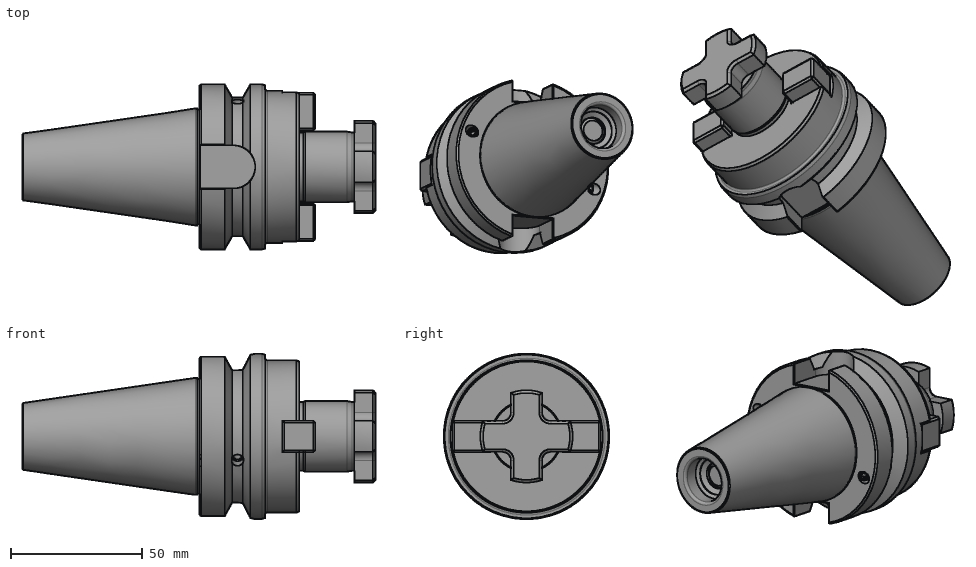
import cadquery as cq
import math


TOTAL_LENGTH = 134.4

TAPER_LENGTH = 65.7
TAPER_RATE = 7 / 24
TAPER_LARGE_RADIUS = 22.3
TAPER_SMALL_RADIUS = TAPER_LARGE_RADIUS - TAPER_LENGTH * TAPER_RATE / 2
TAPER_TIP_CHAMFER = 0.4
NECK_START_X = 66.5
NECK_RADIUS = 21.9

FLANGE_START_X = 67.3
FLANGE_END_X = 92.3
FLANGE_DIAMETER = 63.0
FLANGE_RADIUS = FLANGE_DIAMETER / 2
FLANGE_CHAMFER = 0.7
FLANGE_END_CHAMFER_LENGTH = 1.3
FLANGE_END_CHAMFER_DEPTH = 0.4
GROOVE_CENTER_X = 81.8
GROOVE_FLOOR_WIDTH = 4.0
GROOVE_FLOOR_RADIUS = 26.5
GROOVE_WALL_ANGLE = 30.0
GROOVE_WALL_WIDTH = (FLANGE_RADIUS - GROOVE_FLOOR_RADIUS) * math.tan(math.radians(GROOVE_WALL_ANGLE))
GROOVE_FLOOR_START_X = GROOVE_CENTER_X - GROOVE_FLOOR_WIDTH / 2
GROOVE_FLOOR_END_X = GROOVE_CENTER_X + GROOVE_FLOOR_WIDTH / 2

SLOT_WIDTH = 16.4
SLOT_END_X = 88.6
SLOT_FLOOR_Z = 22.3
SLOT_EDGE_CHAMFER = 0.4

SHOULDER_END_X = 105.4
SHOULDER_RADIUS = 29.0
SHOULDER_CHAMFER = 1.2
SHOULDER_CHAMFER_DEPTH = 0.5
SHOULDER_ROOT_FILLET = 0.8

MANDREL_DIAMETER = 27.0
MANDREL_RADIUS = MANDREL_DIAMETER / 2
MANDREL_RELIEF_RADIUS = 13.2
MANDREL_RELIEF_END_X = 106.8
MANDREL_START_X = 107.7
MANDREL_LEAD_START_X = 123.4
MANDREL_LEAD_END_X = 125.3

MOUTH_FILLET = 1.1
PILOT_RADIUS = 8.5
PILOT_END_X = 6.5
SEAT_RADIUS = 7.1
SEAT_START_X = 7.4
SEAT_END_X = 7.7
BORE_TIP_X = 9.0

SCREW_RADIUS = 5.1
SCREW_TIP_CHAMFER = 1.2
SCREW_HEAD_RADIUS = 17.6
SCREW_HEAD_THICKNESS = 8.0
SCREW_HEAD_START_X = TOTAL_LENGTH - SCREW_HEAD_THICKNESS
SCREW_ARM_WIDTH = 11.8
SCREW_ARM_FILLET = 3.2
SCREW_HEAD_CHAMFER = 1.1
MANDREL_END_X = SCREW_HEAD_START_X

KEY_WIDTH = 12.0
KEY_START_X = 98.9
KEY_END_X = 111.4
KEY_INNER_Y = 13.8
KEY_OUTER_Y = 28.2
KEY_CHAMFER = 0.8

COOLANT_ANGLE = 20.0
RADIAL_HOLE_RADIUS = 2.3
RADIAL_HOLE_FLOOR_RADIUS = 21.2
RADIAL_DRILL_RADIUS = 1.6
RADIAL_DRILL_END_RADIUS = 10.8
PLUG_RADIUS = 2.2
PLUG_TILT = 35.0
PLUG_DISTANCE = 26.9
PLUG_RECESS = PLUG_RADIUS * math.tan(math.radians(PLUG_TILT))
PLUG_LENGTH = 4.0
PLUG_CHAMFER = 0.4
SOCKET_ACROSS_FLATS = 2.2
SOCKET_DEPTH = 1.6
SIDE_ANGLES = (0, 180)
SELECTION_MARGIN = 0.1


def cylinder(radius, start, direction, length):
    """Solid cylinder that grows from a start point along a direction."""
    return cq.Workplane(cq.Solid.makeCylinder(radius, length, cq.Vector(*start), cq.Vector(*direction)))


def turn(body, angle):
    """Body turned about X."""
    return body.rotate((0, 0, 0), (1, 0, 0), angle)


def holder_blank():
    """Turned outside of the holder."""
    blank = (
        cq.Workplane("XZ")
        .moveTo(0, 0)
        .lineTo(0, TAPER_SMALL_RADIUS - TAPER_TIP_CHAMFER)
        .lineTo(TAPER_TIP_CHAMFER, TAPER_SMALL_RADIUS + TAPER_TIP_CHAMFER * TAPER_RATE / 2)
        .lineTo(TAPER_LENGTH, TAPER_LARGE_RADIUS)
        .lineTo(NECK_START_X, TAPER_LARGE_RADIUS)
        .lineTo(NECK_START_X, NECK_RADIUS)
        .lineTo(FLANGE_START_X, NECK_RADIUS)
        .lineTo(FLANGE_START_X, FLANGE_RADIUS - FLANGE_CHAMFER)
        .lineTo(FLANGE_START_X + FLANGE_CHAMFER, FLANGE_RADIUS)
        .lineTo(GROOVE_FLOOR_START_X - GROOVE_WALL_WIDTH, FLANGE_RADIUS)
        .lineTo(GROOVE_FLOOR_START_X, GROOVE_FLOOR_RADIUS)
        .lineTo(GROOVE_FLOOR_END_X, GROOVE_FLOOR_RADIUS)
        .lineTo(GROOVE_FLOOR_END_X + GROOVE_WALL_WIDTH, FLANGE_RADIUS)
        .lineTo(FLANGE_END_X - FLANGE_END_CHAMFER_LENGTH, FLANGE_RADIUS)
        .lineTo(FLANGE_END_X, FLANGE_RADIUS - FLANGE_END_CHAMFER_DEPTH)
        .lineTo(FLANGE_END_X, SHOULDER_RADIUS + SHOULDER_ROOT_FILLET)
        .radiusArc((FLANGE_END_X + SHOULDER_ROOT_FILLET, SHOULDER_RADIUS), -SHOULDER_ROOT_FILLET)
        .lineTo(SHOULDER_END_X - SHOULDER_CHAMFER, SHOULDER_RADIUS)
        .lineTo(SHOULDER_END_X, SHOULDER_RADIUS - SHOULDER_CHAMFER_DEPTH)
        .lineTo(SHOULDER_END_X, MANDREL_RELIEF_RADIUS)
        .lineTo(MANDREL_RELIEF_END_X, MANDREL_RELIEF_RADIUS)
        .lineTo(MANDREL_START_X, MANDREL_RADIUS)
        .lineTo(MANDREL_LEAD_START_X, MANDREL_RADIUS)
        .lineTo(MANDREL_LEAD_END_X, MANDREL_RELIEF_RADIUS)
        .lineTo(MANDREL_END_X, MANDREL_RELIEF_RADIUS)
        .lineTo(MANDREL_END_X, 0)
        .close()
    )
    return blank.revolve(360, (0, 0, 0), (1, 0, 0))


def holder_bore():
    """Stepped bore along the axis, down to the diameter of the clamping screw."""
    bore = (
        cq.Workplane("XZ")
        .moveTo(0, 0)
        .lineTo(0, PILOT_RADIUS + MOUTH_FILLET)
        .radiusArc((MOUTH_FILLET, PILOT_RADIUS), -MOUTH_FILLET)
        .lineTo(PILOT_END_X, PILOT_RADIUS)
        .lineTo(SEAT_START_X, SEAT_RADIUS)
        .lineTo(SEAT_END_X, SEAT_RADIUS)
        .lineTo(BORE_TIP_X, SCREW_RADIUS)
        .lineTo(MANDREL_END_X, SCREW_RADIUS)
        .lineTo(MANDREL_END_X, 0)
        .close()
    )
    return bore.revolve(360, (0, 0, 0), (1, 0, 0))


def driving_slot():
    """Round-ended slot in the top of the flange, open towards the taper."""
    height = FLANGE_RADIUS - SLOT_FLOOR_Z
    round_center_x = SLOT_END_X - SLOT_WIDTH / 2
    straight = cq.Workplane("XY").box(
        round_center_x - NECK_START_X, SLOT_WIDTH, height, centered=(False, True, False)
    ).translate((NECK_START_X, 0, SLOT_FLOOR_Z))
    round_end = cylinder(SLOT_WIDTH / 2, (round_center_x, 0, SLOT_FLOOR_Z), (0, 0, 1), height)
    return straight.union(round_end)


def slot_mouth_chamfer():
    """Wedge that bevels the edges of the slot in the flange face."""
    floor_z = SLOT_FLOOR_Z - SLOT_EDGE_CHAMFER
    height = 2 * (FLANGE_RADIUS - floor_z)
    return (
        cq.Workplane("YZ", origin=(FLANGE_START_X, 0, floor_z + height / 2))
        .rect(SLOT_WIDTH + 2 * SLOT_EDGE_CHAMFER, height)
        .extrude(SLOT_EDGE_CHAMFER, taper=45)
    )


def slot_rims():
    """Selector for the straight outer edges of both slots on the front part of the flange."""
    half_width = SLOT_WIDTH / 2 + SELECTION_MARGIN
    rim_z = math.sqrt(FLANGE_RADIUS ** 2 - (SLOT_WIDTH / 2) ** 2)
    top, bottom = [
        cq.selectors.BoxSelector(
            (FLANGE_START_X, -half_width, z - SELECTION_MARGIN),
            (GROOVE_FLOOR_START_X, half_width, z + SELECTION_MARGIN),
        )
        for z in (rim_z, -rim_z)
    ]
    return top + bottom


def key_block(outer_y):
    """Block on the +Y side with the width and length of a drive key."""
    return cq.Workplane("XY").box(
        KEY_END_X - KEY_START_X, outer_y - KEY_INNER_Y, KEY_WIDTH, centered=(False, False, True)
    ).translate((KEY_START_X, KEY_INNER_Y, 0))


def radial_coolant_hole():
    """Stepped hole from the floor of the V groove towards the axis, on the +Y side."""
    wide = cylinder(
        RADIAL_HOLE_RADIUS,
        (GROOVE_CENTER_X, RADIAL_HOLE_FLOOR_RADIUS, 0),
        (0, 1, 0),
        FLANGE_RADIUS - RADIAL_HOLE_FLOOR_RADIUS,
    )
    narrow = cylinder(
        RADIAL_DRILL_RADIUS,
        (GROOVE_CENTER_X, RADIAL_DRILL_END_RADIUS, 0),
        (0, 1, 0),
        RADIAL_HOLE_FLOOR_RADIUS - RADIAL_DRILL_END_RADIUS,
    )
    return wide.union(narrow)


def tilt_to_plug_axis(body):
    """Body built along +X from the origin, moved onto the plug axis at the flange face."""
    tilted = body.rotate((0, 0, 0), (0, 0, 1), -PLUG_TILT)
    return tilted.translate((FLANGE_START_X, PLUG_DISTANCE, 0))


def plug_hole():
    """Hole in the flange face that holds a plug, on the +Y side."""
    overrun = PLUG_RADIUS
    length = overrun + PLUG_RECESS + PLUG_LENGTH
    return tilt_to_plug_axis(cylinder(PLUG_RADIUS, (-overrun, 0, 0), (1, 0, 0), length))


def make_plug():
    """Set screw with a hexagon socket, on the +Y side."""
    socket_diameter = SOCKET_ACROSS_FLATS / math.cos(math.radians(30))
    plug = (
        cq.Workplane("YZ")
        .circle(PLUG_RADIUS)
        .extrude(PLUG_LENGTH)
        .faces("<X").chamfer(PLUG_CHAMFER)
    )
    socket = cq.Workplane("YZ").polygon(6, socket_diameter).extrude(SOCKET_DEPTH)
    return tilt_to_plug_axis(plug.cut(socket).translate((PLUG_RECESS, 0, 0)))


def make_holder():
    """Holder with its bore, slots, key seats and coolant holes."""
    holder = holder_blank().cut(holder_bore())
    for side in SIDE_ANGLES:
        holder = holder.cut(turn(driving_slot(), side))
    holder = holder.edges("|X").edges(slot_rims()).chamfer(SLOT_EDGE_CHAMFER)
    for side in SIDE_ANGLES:
        holder = holder.cut(turn(slot_mouth_chamfer(), side))
        holder = holder.cut(turn(key_block(SHOULDER_RADIUS), side))
        holder = holder.cut(turn(radial_coolant_hole(), side + COOLANT_ANGLE))
        holder = holder.cut(turn(plug_hole(), side + COOLANT_ANGLE))
    return holder


def make_key():
    """Drive key on the +Y side, chamfered around its outer and inner faces and its front end."""
    return key_block(KEY_OUTER_Y).faces(">X or >Y or <Y").chamfer(KEY_CHAMFER)


def make_clamping_screw():
    """Screw with a cross-shaped head and a plain shank that reaches into the bore."""
    head_disc = cq.Workplane("YZ").circle(SCREW_HEAD_RADIUS).extrude(SCREW_HEAD_THICKNESS)
    arm_length = 2 * SCREW_HEAD_RADIUS
    cross = (
        cq.Workplane("YZ")
        .rect(arm_length, SCREW_ARM_WIDTH).extrude(SCREW_HEAD_THICKNESS)
        .union(cq.Workplane("YZ").rect(SCREW_ARM_WIDTH, arm_length).extrude(SCREW_HEAD_THICKNESS))
    )
    corner = SCREW_ARM_WIDTH / 2 + SELECTION_MARGIN
    corner_box = cq.selectors.BoxSelector((0, -corner, -corner), (SCREW_HEAD_THICKNESS, corner, corner))
    cross = cross.edges("|X").edges(corner_box).fillet(SCREW_ARM_FILLET)
    head = cross.intersect(head_disc).faces(">X").chamfer(SCREW_HEAD_CHAMFER)
    head = head.translate((SCREW_HEAD_START_X, 0, 0))
    shank = cylinder(SCREW_RADIUS, (BORE_TIP_X, 0, 0), (1, 0, 0), SCREW_HEAD_START_X - BORE_TIP_X)
    shank = shank.faces("<X").chamfer(SCREW_TIP_CHAMFER)
    return head.union(shank)


holder = make_holder()
keys = [turn(make_key(), side) for side in SIDE_ANGLES]
clamping_screw = make_clamping_screw()
plugs = [turn(make_plug(), side + COOLANT_ANGLE) for side in SIDE_ANGLES]

result = cq.Compound.makeCompound([
    holder.solids().val(),
    *[key.solids().val() for key in keys],
    clamping_screw.solids().val(),
    *[plug.solids().val() for plug in plugs],
])